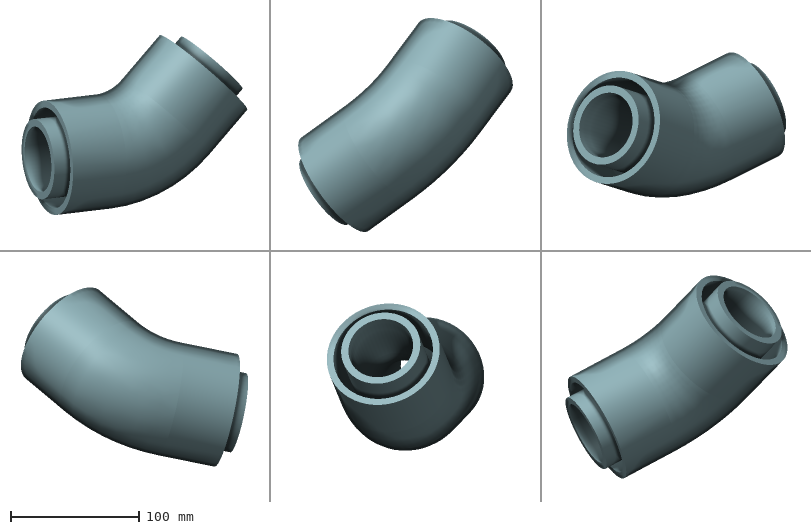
import cadquery as cq
import math

OUTER_PIPE_OD = 90.0
OUTER_PIPE_ID = 79.2
INNER_PIPE_OD = 63.0
INNER_PIPE_ID = 51.5

BEND_ANGLE = math.radians(45)
BEND_RADIUS = 75.9
OUTER_LEG = 45.5
INNER_PROTRUSION = 10.0
INNER_LEG = OUTER_LEG + INNER_PROTRUSION


def bend_point(angle):
    """Point (Y, Z) on the bend centreline, at an angle from the bend start."""
    return (BEND_RADIUS * math.sin(angle), BEND_RADIUS * (1 - math.cos(angle)))


def centreline(leg):
    """Straight leg, bend and straight leg in the YZ plane."""
    bend_end_y, bend_end_z = bend_point(BEND_ANGLE)
    upper_end = (
        bend_end_y + leg * math.cos(BEND_ANGLE),
        bend_end_z + leg * math.sin(BEND_ANGLE),
    )
    return (
        cq.Workplane("YZ")
        .moveTo(-leg, 0)
        .lineTo(0, 0)
        .threePointArc(bend_point(BEND_ANGLE / 2), (bend_end_y, bend_end_z))
        .lineTo(*upper_end)
    )


def bent_pipe(outer_diameter, bore_diameter, leg):
    """Pipe with a ring section swept along the bent centreline."""
    return (
        cq.Workplane("XZ", origin=(0, -leg, 0))
        .circle(outer_diameter / 2)
        .circle(bore_diameter / 2)
        .sweep(centreline(leg))
    )


outer_pipe = bent_pipe(OUTER_PIPE_OD, OUTER_PIPE_ID, OUTER_LEG)
inner_pipe = bent_pipe(INNER_PIPE_OD, INNER_PIPE_ID, INNER_LEG)

result = cq.Compound.makeCompound([outer_pipe.val(), inner_pipe.val()])